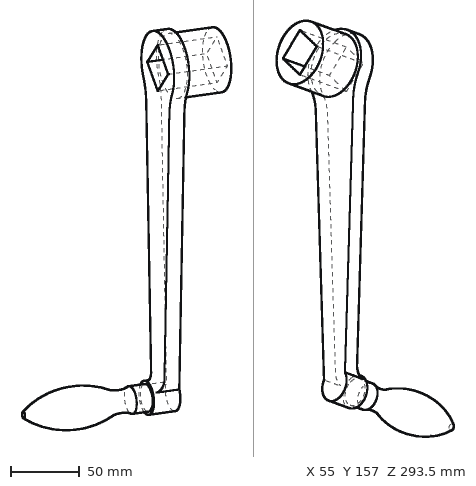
import cadquery as cq
import math

arm_length = 250.0
arm_thickness = 12.3
arm_half_width_top = 20.5
arm_half_width_end = 10.5
head_diameter = 55.0
head_radius = head_diameter / 2
head_blend_radius = 40.0

hub_radius = 24.0
hub_depth = 35.8
square_side = 24.7

boss_radius = 12.5
boss_end = 21.5
boss_fillet = 6.2

shank_radius = 10.3
shank_end = 34.3
neck_radius = 8.5
neck_waist = 42.3
grip_start = 49.5
grip_diameter = 32.0
grip_radius = grip_diameter / 2
grip_widest = 79.8
tip_radius = 2.5
handle_end = 121.2


def front_plane(y=0):
    """Plane facing -Y, so extrusions run toward the handle side."""
    return cq.Workplane("XZ", origin=(0, y, 0))


def turned(profile):
    """Revolve a closed (radius, -Y distance) profile about the handle axis."""
    return profile.revolve(360, (0, 0, 0), (0, 1, 0)).translate((0, 0, -arm_length))


def profile_start():
    """Start a sketch through the handle axis: local x is radius, local y is -Y distance."""
    return cq.Workplane(cq.Plane(origin=(0, 0, 0), xDir=(1, 0, 0), normal=(0, 0, -1)))


def tapered_bar(depth):
    return (
        front_plane()
        .moveTo(-arm_half_width_top, 0)
        .lineTo(arm_half_width_top, 0)
        .lineTo(arm_half_width_end, -arm_length)
        .lineTo(-arm_half_width_end, -arm_length)
        .close()
        .extrude(depth)
    )


def make_arm():
    head = front_plane().circle(head_radius).extrude(arm_thickness)
    arm = head.union(tapered_bar(arm_thickness))
    corners = cq.selectors.BoxSelector(
        (-head_radius, -arm_thickness, -head_radius), (head_radius, 0, -head_radius / 2)
    )
    return arm.edges("|Y").edges(corners).fillet(head_blend_radius)


def make_boss():
    boss = front_plane().center(0, -arm_length).circle(boss_radius).extrude(boss_end)
    flare_end = arm_thickness + boss_fillet
    arc_drop = boss_fillet * (1 - math.sqrt(0.5))
    flare = turned(
        profile_start()
        .moveTo(0, 0)
        .lineTo(boss_radius + boss_fillet, 0)
        .lineTo(boss_radius + boss_fillet, arm_thickness)
        .threePointArc((boss_radius + arc_drop, arm_thickness + arc_drop), (boss_radius, flare_end))
        .lineTo(0, flare_end)
        .close()
    )
    return boss.union(flare.intersect(tapered_bar(flare_end)))


def neck_midpoint(end_radius, end_distance):
    """Halfway point of a hollow arc that is parallel to the axis at the neck's waist."""
    length = end_distance - neck_waist
    rise = end_radius - neck_radius
    arc_radius = (length**2 + rise**2) / (2 * rise)
    half_rise = arc_radius - math.sqrt(arc_radius**2 - (length / 2) ** 2)
    return neck_radius + half_rise, neck_waist + length / 2


def make_handle():
    half_length = handle_end - grip_widest
    drop = grip_radius - tip_radius
    arc_radius = (half_length**2 + drop**2) / (2 * drop)
    reach = grip_widest - grip_start
    grip_start_radius = grip_radius - arc_radius + math.sqrt(arc_radius**2 - reach**2)
    return turned(
        profile_start()
        .moveTo(0, 0)
        .lineTo(shank_radius, 0)
        .lineTo(shank_radius, shank_end)
        .threePointArc(neck_midpoint(shank_radius, shank_end), (neck_radius, neck_waist))
        .threePointArc(neck_midpoint(grip_start_radius, grip_start), (grip_start_radius, grip_start))
        .threePointArc((grip_radius, grip_widest), (tip_radius, handle_end))
        .lineTo(0, handle_end)
        .close()
    )


hub = front_plane(hub_depth).circle(hub_radius).extrude(hub_depth)
square_hole = (
    front_plane(hub_depth)
    .transformed(rotate=(0, 0, 45))
    .rect(square_side, square_side)
    .extrude(hub_depth + arm_thickness)
)

result = make_arm().union(hub).union(make_boss()).union(make_handle()).cut(square_hole)